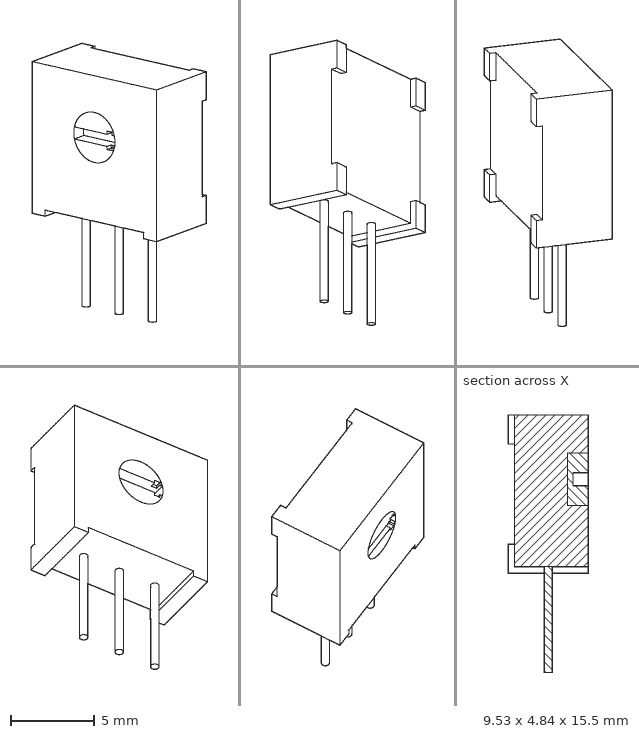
import cadquery as cq

TOTAL_HEIGHT = 15.5
BODY_SIZE = 9.53
BODY_DEPTH = 4.84
BODY_BOTTOM = TOTAL_HEIGHT - BODY_SIZE
BODY_MID_Z = BODY_BOTTOM + BODY_SIZE / 2

STANDOFF_WIDTH = 1.0
STANDOFF_LENGTH = 1.77
STANDOFF_RISE = 0.39
GAP_WIDTH = BODY_SIZE - 2 * STANDOFF_WIDTH
GAP_HEIGHT = BODY_SIZE - 2 * STANDOFF_LENGTH

DIAL_DIAMETER = 3.15
DIAL_THICKNESS = 1.24
DIAL_Z = TOTAL_HEIGHT - 3.88
SLOT_WIDTH = 0.76
SLOT_DEPTH = 0.93

POINTER_X = 1.16
POINTER_WIDTH = 0.37
POINTER_HEIGHT = 1.16
POINTER_DEPTH = 0.37

PIN_DIAMETER = 0.51
PIN_PITCH = 2.54
PIN_COUNT = 3
PIN_Y = BODY_DEPTH / 2
PIN_LENGTH = BODY_BOTTOM + STANDOFF_RISE


def block(width, depth, height, x, y_front, z):
    """Box centred on x and z that runs from y_front toward +Y."""
    return (
        cq.Workplane("XY")
        .box(width, depth, height, centered=(True, False, True))
        .translate((x, y_front, z))
    )


def dial_blank():
    """Plain disc of the dial, also used to cut its seat in the housing."""
    return (
        cq.Workplane("XZ")
        .center(0, DIAL_Z)
        .circle(DIAL_DIAMETER / 2)
        .extrude(-DIAL_THICKNESS)
    )


def make_housing():
    body = block(BODY_SIZE, BODY_DEPTH, BODY_SIZE, 0, 0, BODY_MID_Z)

    back_floor = BODY_DEPTH - STANDOFF_RISE
    upright_channel = block(GAP_WIDTH, STANDOFF_RISE, BODY_SIZE, 0, back_floor, BODY_MID_Z)
    level_channel = block(BODY_SIZE, STANDOFF_RISE, GAP_HEIGHT, 0, back_floor, BODY_MID_Z)

    bottom_channel = block(
        GAP_WIDTH, BODY_DEPTH, STANDOFF_RISE, 0, 0, BODY_BOTTOM + STANDOFF_RISE / 2
    )
    return body.cut(upright_channel).cut(level_channel).cut(bottom_channel).cut(dial_blank())


def make_dial():
    slot = block(DIAL_DIAMETER, SLOT_DEPTH, SLOT_WIDTH, 0, 0, DIAL_Z)
    pointer = block(POINTER_WIDTH, POINTER_DEPTH, POINTER_HEIGHT, POINTER_X, 0, DIAL_Z)
    return dial_blank().cut(slot).cut(pointer)


def make_pin(x):
    """Round pin that stands below the bottom channel and touches its face."""
    return cq.Workplane("XY").center(x, PIN_Y).circle(PIN_DIAMETER / 2).extrude(PIN_LENGTH)


housing = make_housing()
dial = make_dial()

pins = []
for index in range(PIN_COUNT):
    pin_x = (index - (PIN_COUNT - 1) / 2) * PIN_PITCH
    pins.append(make_pin(pin_x).val())

result = cq.Compound.makeCompound([housing.val(), dial.val(), *pins])